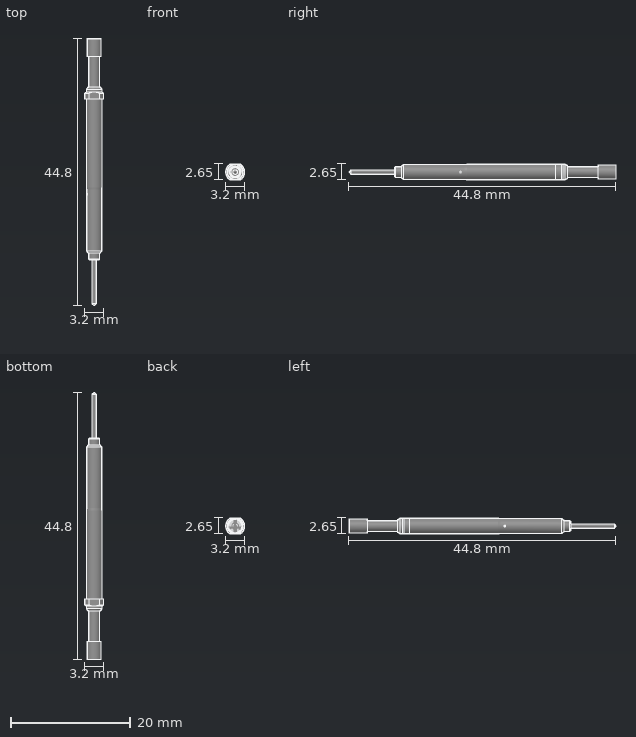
import cadquery as cq


total_length = 44.8
tip_length = 0.3
pin_length = 7.3
nozzle_length = 1.15
nozzle_chamfer = 0.2
nose_cone_length = 0.35
front_barrel_length = 10.25
taper_length = 0.4
head_length = 3.05

collar_front = 34.65
collar_length = 1.0
collar_cone_length = 0.22
shoulder_rear = 36.65
shoulder_cone_length = 0.4

pin_diameter = 0.75
nozzle_diameter = 1.85
nose_cone_end_diameter = 1.95
front_barrel_diameter = 2.55
rear_barrel_diameter = 2.65
collar_diameter = 3.2
shoulder_end_diameter = 2.15
neck_diameter = 1.85
head_diameter = 2.37
across_flats = rear_barrel_diameter

side_hole_diameter = 0.25
side_hole_depth = 0.2
side_hole_from_taper = 0.7

nozzle_front = tip_length + pin_length
nozzle_rear = nozzle_front + nozzle_length
front_barrel_start = nozzle_rear + nose_cone_length
taper_start = front_barrel_start + front_barrel_length
taper_end = taper_start + taper_length
collar_rear = collar_front + collar_length
head_front = total_length - head_length


def revolve_profile(stations):
    """Solid of revolution about Y from (Y position, diameter) pairs."""
    first_y = stations[0][0]
    last_y = stations[-1][0]
    outline = [(diameter / 2, y) for y, diameter in stations]
    return (
        cq.Workplane("XY")
        .polyline([(0, first_y)] + outline + [(0, last_y)])
        .close()
        .revolve(360, (0, 0), (0, 1))
    )


def make_tip():
    """Pointed end of the pin."""
    return (
        cq.Workplane("XY")
        .polyline([(0, 0), (pin_diameter / 2, tip_length), (0, tip_length)])
        .close()
        .revolve(360, (0, 0), (0, 1))
    )


def make_shaft():
    """Pin, nozzle, stepped barrel, shoulder, neck and head in one turned body."""
    return revolve_profile([
        (tip_length, pin_diameter),
        (nozzle_front, pin_diameter),
        (nozzle_front, nozzle_diameter - 2 * nozzle_chamfer),
        (nozzle_front + nozzle_chamfer, nozzle_diameter),
        (nozzle_rear, nozzle_diameter),
        (nozzle_rear, nose_cone_end_diameter),
        (front_barrel_start, front_barrel_diameter),
        (taper_start, front_barrel_diameter),
        (taper_end, rear_barrel_diameter),
        (shoulder_rear - shoulder_cone_length, rear_barrel_diameter),
        (shoulder_rear, shoulder_end_diameter),
        (shoulder_rear, neck_diameter),
        (head_front, neck_diameter),
        (head_front, head_diameter),
        (total_length, head_diameter),
    ])


def make_collar():
    """Collar with a conical rear edge and two flats facing +Z and -Z."""
    collar_end = collar_rear + collar_cone_length
    collar = revolve_profile([
        (collar_front, collar_diameter),
        (collar_rear, collar_diameter),
        (collar_end, rear_barrel_diameter),
    ])
    between_flats = (
        cq.Workplane("XY")
        .box(collar_diameter * 2, collar_end - collar_front, across_flats)
        .translate((0, (collar_front + collar_end) / 2, 0))
    )
    return collar.intersect(between_flats)


def make_side_hole():
    """Cutter for the blind hole, entering along +X from the -X side."""
    bottom_x = side_hole_depth - front_barrel_diameter / 2
    return (
        cq.Workplane("YZ", origin=(bottom_x, 0, 0))
        .center(taper_start - side_hole_from_taper, 0)
        .circle(side_hole_diameter / 2)
        .extrude(-2 * side_hole_depth)
    )


result = make_shaft().union(make_tip()).union(make_collar()).cut(make_side_hole())